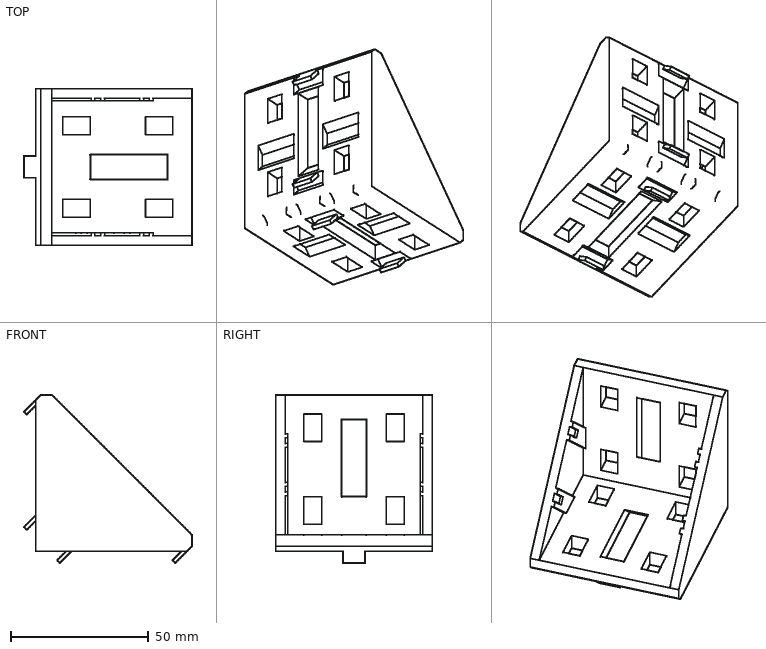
import cadquery as cq
import math


overall_length = 61.25
leg_length = 57.0
plate_thickness = 6.0
wall_thickness = 3.5
end_chamfer = 1.9

tab_reach = overall_length - leg_length
tab_thickness = 1.5
tab_width = 8.0
tab_pocket_width = 13.0
outer_tab_edge = leg_length - end_chamfer
inner_tab_edge = 13.1
outer_tab_pocket_height = 7.0
inner_tab_pocket_height = 6.0

slot_width = 9.0
slot_start = 20.0
slot_end = 48.0

window_width = 6.4
window_height = 9.9
window_bottoms = (10.0, 40.05)
feature_pitch = 15.0

grip_width = 16.0
grip_bottom = 22.0
grip_height = 10.1
grip_depth = 2.7
grip_offset = (tab_pocket_width + grip_width) / 2

notch_width = 10.0
notch_leg = 2.7
corner_radius = 0.5

guide_width = 6.9
guide_height = 1.0
guide_slot_width = 2.9
guide_slot_depth = 10.0
guide_spacing = 25.0
guide_tilt = 45


def prism(profile, width, y_center=0.0):
    """Solid with the given (x, z) profile, extruded along Y about y_center."""
    drawn = cq.Workplane("XZ", origin=(0, y_center, 0)).polyline(profile).close()
    return drawn.extrude(width / 2, both=True)


def on_both_plates(profile, width, y_center=0.0):
    """The upright-plate prism together with its mirror image for the floor plate."""
    mirrored = [(z, x) for x, z in profile]
    return prism(profile, width, y_center).union(prism(mirrored, width, y_center))


def bracket_profile():
    """Side outline of the bracket, without its tabs."""
    shoulder = leg_length - end_chamfer
    return [
        (0, 0),
        (shoulder, 0),
        (leg_length, end_chamfer),
        (leg_length, plate_thickness),
        (plate_thickness, leg_length),
        (end_chamfer, leg_length),
        (0, shoulder),
    ]


def rounded_block():
    """Solid wedge, notched along its outer corner and rounded there."""
    block = prism(bracket_profile(), leg_length)
    notch_profile = [(0, 0), (notch_leg, 0), (0, notch_leg)]
    for row in (-1, 0, 1):
        block = block.cut(prism(notch_profile, notch_width, row * feature_pitch))
    reach = notch_leg + corner_radius
    half_width = leg_length / 2 - wall_thickness
    near_corner = cq.selectors.BoxSelector((-reach, -half_width, -reach), (reach, half_width, reach))
    corner_edges = block.edges(near_corner).edges("|X or |Y or |Z")
    return corner_edges.fillet(corner_radius)


def inner_space():
    """Room between the plates and the side walls, open on the sloped side."""
    near = plate_thickness
    far = leg_length
    return prism([(near, near), (far, near), (far, far), (near, far)], leg_length - 2 * wall_thickness)


def guides():
    """Raised strips square to the sloped edge, running to the plates, on both side walls."""
    slope_distance = (leg_length + plate_thickness) / math.sqrt(2)
    guide_center = leg_length / 2 - wall_thickness - guide_height / 2
    strips = cq.Workplane("XZ")
    for wall in (-1, 1):
        for half in (-1, 1):
            strip = cq.Workplane("XY").box(slope_distance, guide_height, guide_width)
            slot = cq.Workplane("XY").box(guide_slot_depth, guide_height, guide_slot_width)
            strip = strip.cut(slot.translate(((slope_distance - guide_slot_depth) / 2, 0, 0)))
            strip = strip.translate((slope_distance / 2, 0, half * guide_spacing / 2))
            strip = strip.rotate((0, 0, 0), (0, 1, 0), -guide_tilt)
            strips = strips.add(strip.translate((0, wall * guide_center, 0)))
    return strips.combine().intersect(inner_space())


def slots():
    """Bolt slots, straight at the free end and sloped at 45 degrees at the corner end."""
    depth = plate_thickness
    profile = [(0, slot_start - depth), (depth, slot_start), (depth, slot_end), (0, slot_end)]
    return on_both_plates(profile, slot_width)


def windows():
    """Rectangular openings straight through the plates."""
    openings = cq.Workplane("XZ")
    for side in (-1, 1):
        for bottom in window_bottoms:
            top = bottom + window_height
            profile = [(0, bottom), (plate_thickness, bottom), (plate_thickness, top), (0, top)]
            openings = openings.add(on_both_plates(profile, window_width, side * feature_pitch))
    return openings.combine()


def grips():
    """Recesses with 45 degree upper and lower faces and a flat floor."""
    top = grip_bottom + grip_height
    profile = [
        (0, grip_bottom),
        (grip_depth, grip_bottom + grip_depth),
        (grip_depth, top - grip_depth),
        (0, top),
    ]
    pockets = cq.Workplane("XZ")
    for side in (-1, 1):
        pockets = pockets.add(on_both_plates(profile, grip_width, side * grip_offset))
    return pockets.combine()


def tab_pocket(top, height):
    """V-shaped pocket with both faces at 45 degrees."""
    depth = height / 2
    return on_both_plates([(0, top), (depth, top - depth), (0, top - height)], tab_pocket_width)


def tab(edge):
    """Flat tab leaning 45 degrees, rooted on the upper face of its pocket."""
    step = tab_thickness / math.sqrt(2)
    profile = [
        (0, edge),
        (-tab_reach, edge - tab_reach),
        (step - tab_reach, edge - step - tab_reach),
        (step, edge - step),
    ]
    return on_both_plates(profile, tab_width)


bracket = rounded_block().cut(inner_space()).union(guides())
bracket = bracket.cut(slots()).cut(windows()).cut(grips())
bracket = bracket.cut(tab_pocket(outer_tab_edge, outer_tab_pocket_height))
bracket = bracket.cut(tab_pocket(inner_tab_edge, inner_tab_pocket_height))
bracket = bracket.union(tab(outer_tab_edge)).union(tab(inner_tab_edge))
result = bracket.solids()